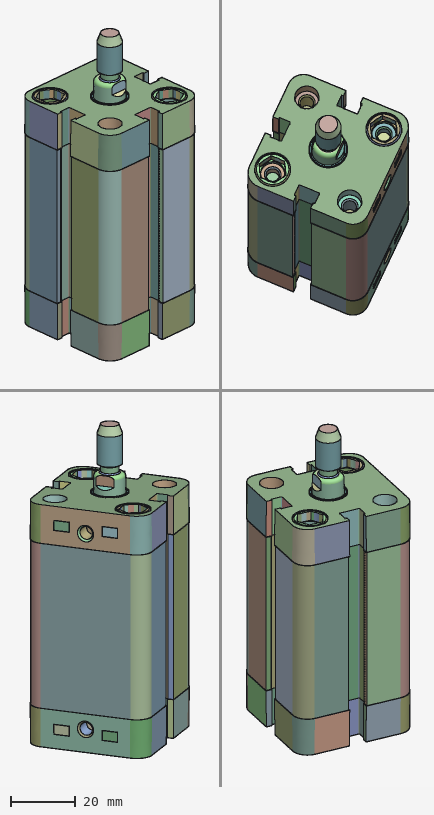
import cadquery as cq
import math


total_height = 101.0
rod_projection = 22.0
body_height = total_height - rod_projection
cap_height = 12.6

cap_width = 40.3
cap_draft_angle = 0.5
tube_width = 40.0
corner_centre = 14.9

slot_angles = (0, 90, 270)
cap_slot_opening = 5.8
tube_slot_opening = 6.4
slot_lip_depth = 1.9
slot_floor_depth = 5.7
slot_inner_width = 7.0
slot_corner_radius = 0.2

screw_offset = 13.0
screw_corners = [(screw_offset, screw_offset), (-screw_offset, -screw_offset)]
hole_corners = [(-screw_offset, screw_offset), (screw_offset, -screw_offset)]
screw_hole_diameter = 11.1
screw_diameter = 10.9
screw_length = 8.1
screw_chamfer = 0.45
socket_corner_diameter = 9.1
socket_relief_diameter = 8.1
socket_depth = 3.1
bore_diameter = 7.5
bore_depth = 4.4
thread_diameter = 4.1
thread_chamfer = 0.5

rod_diameter = 10.0
mouth_groove_outer_diameter = 12.0
mouth_groove_inner_diameter = 11.4
mouth_groove_depth = 0.3
rod_clearance_diameter = 10.5
rod_clearance_depth = 2.0
rod_edge_radius = 1.2
shoulder_height = 6.3
flat_width = 8.0
flat_length = 3.4
neck_diameter = 5.8
neck_length = 2.3
neck_root_chamfer = 0.4
thread_end_chamfer = 0.6
stud_diameter = 8.0
tip_diameter = 5.8
tip_length = 3.0

port_distance = 7.6
port_diameter = 4.1
port_mouth_diameter = 5.5
port_depth = 6.1
label_length = 5.0
label_width = 3.2
label_depth = 0.2
label_offset = 8.1
label_distance = 6.3


def rounded_square(width, z):
    """Body outline at height z, with its corner arcs on the shared centres."""
    corner_radius = width / 2 - corner_centre
    sketch = cq.Sketch().rect(width, width).vertices().fillet(corner_radius)
    return cq.Workplane("XY").workplane(offset=z).placeSketch(sketch)


def slot_bar(width, inner_x, outer_x):
    size = (outer_x - inner_x, width, body_height)
    return cq.Workplane("XY").box(*size, centered=(False, True, False)).translate((inner_x, 0, 0))


def slot_cutters(opening):
    """T-slot bars along the whole body, one for each slotted side."""
    floor_x = tube_width / 2 - slot_floor_depth
    lip_x = tube_width / 2 - slot_lip_depth
    inner_bar = slot_bar(slot_inner_width, floor_x, lip_x)
    inner_bar = inner_bar.edges("|Z and <X").fillet(slot_corner_radius)
    bar = slot_bar(opening, floor_x + slot_corner_radius, cap_width / 2).union(inner_bar)
    cutters = cq.Workplane("XY")
    for angle in slot_angles:
        cutters = cutters.union(bar.rotate((0, 0, 0), (0, 0, 1), angle))
    return cutters


def threaded_hole(depth):
    """Cutter for a hole down from Z = 0 with a chamfered mouth."""
    radius = thread_diameter / 2
    return (
        cq.Workplane("XZ")
        .moveTo(0, 0)
        .lineTo(radius + thread_chamfer, 0)
        .lineTo(radius, -thread_chamfer)
        .lineTo(radius, -depth)
        .lineTo(0, -depth)
        .close()
        .revolve(360, (0, 0), (0, 1))
    )


def port_cutter():
    """Cutter for a port into the -X side at Z = 0."""
    face = cap_width / 2
    mouth_depth = (port_mouth_diameter - port_diameter) / 2
    return (
        cq.Workplane("XY")
        .moveTo(-face, 0)
        .lineTo(-face, port_mouth_diameter / 2)
        .lineTo(-face + mouth_depth, port_diameter / 2)
        .lineTo(-face + port_depth, port_diameter / 2)
        .lineTo(-face + port_depth, 0)
        .close()
        .revolve(360, (0, 0), (1, 0))
    )


def make_end_cap():
    """Cap with its wide end on Z = 0 and its outer end at Z = cap_height."""
    cap = rounded_square(cap_width, 0).extrude(cap_height, taper=cap_draft_angle)
    cap = cap.cut(slot_cutters(cap_slot_opening))
    cap = cap.cut(port_cutter().translate((0, 0, cap_height - port_distance)))
    label = cq.Workplane("XY").box(2 * label_depth, label_length, label_width)
    for side in (-1, 1):
        place = (-tube_width / 2, side * label_offset, cap_height - label_distance)
        cap = cap.cut(label.translate(place))
    return cap


def make_bottom_cap():
    return make_end_cap().mirror("XY").translate((0, 0, cap_height))


def make_top_cap():
    cap = make_end_cap().translate((0, 0, body_height - cap_height))
    top = cq.Workplane("XY").workplane(offset=body_height)
    cap = cap.cut(top.circle(rod_diameter / 2).extrude(-cap_height))
    cap = cap.cut(top.circle(rod_clearance_diameter / 2).extrude(-rod_clearance_depth))
    groove = top.circle(mouth_groove_outer_diameter / 2).circle(mouth_groove_inner_diameter / 2)
    cap = cap.cut(groove.extrude(-mouth_groove_depth))
    cap = cap.cut(top.pushPoints(screw_corners).circle(screw_hole_diameter / 2).extrude(-screw_length))
    cap = cap.cut(top.pushPoints(hole_corners).circle(bore_diameter / 2).extrude(-bore_depth))
    for x, y in hole_corners:
        hole = threaded_hole(cap_height - bore_depth)
        cap = cap.cut(hole.translate((x, y, body_height - bore_depth)))
    return cap


def make_tube():
    tube = rounded_square(tube_width, cap_height).extrude(body_height - 2 * cap_height)
    return tube.cut(slot_cutters(tube_slot_opening))


def make_screw(x, y):
    """Round screw head with a hexagon socket, its top level with the cap."""
    top = cq.Workplane("XY")
    screw = top.circle(screw_diameter / 2).extrude(-screw_length).faces(">Z").chamfer(screw_chamfer)
    screw = screw.cut(top.polygon(6, socket_corner_diameter).extrude(-socket_depth))
    screw = screw.cut(top.circle(socket_relief_diameter / 2).extrude(-socket_depth))
    screw = screw.cut(top.circle(bore_diameter / 2).extrude(-bore_depth))
    hole = threaded_hole(screw_length - bore_depth)
    screw = screw.cut(hole.translate((0, 0, -bore_depth)))
    return screw.translate((x, y, body_height))


def make_rod():
    shoulder = body_height + shoulder_height
    stud_start = shoulder + neck_length
    arc_shift = rod_edge_radius * (1 - math.sqrt(0.5))
    rod = (
        cq.Workplane("XZ")
        .moveTo(0, body_height - cap_height)
        .lineTo(rod_diameter / 2, body_height - cap_height)
        .lineTo(rod_diameter / 2, shoulder - rod_edge_radius)
        .threePointArc(
            (rod_diameter / 2 - arc_shift, shoulder - arc_shift),
            (rod_diameter / 2 - rod_edge_radius, shoulder),
        )
        .lineTo(neck_diameter / 2 + neck_root_chamfer, shoulder)
        .lineTo(neck_diameter / 2, shoulder + neck_root_chamfer)
        .lineTo(neck_diameter / 2, stud_start)
        .lineTo(stud_diameter / 2, stud_start + thread_end_chamfer)
        .lineTo(stud_diameter / 2, total_height - tip_length)
        .lineTo(tip_diameter / 2, total_height)
        .lineTo(0, total_height)
        .close()
        .revolve(360, (0, 0), (0, 1))
    )
    flat_depth = rod_diameter - flat_width
    flat_end = shoulder - flat_length
    flat = (
        cq.Workplane("XZ")
        .moveTo(flat_width / 2, shoulder)
        .lineTo(flat_width / 2, flat_end)
        .lineTo(flat_width / 2 + flat_depth, flat_end - flat_depth)
        .lineTo(flat_width / 2 + flat_depth, shoulder)
        .close()
        .extrude(rod_diameter / 2, both=True)
    )
    return rod.cut(flat).cut(flat.mirror("YZ"))


bottom_cap = make_bottom_cap()
tube = make_tube()
top_cap = make_top_cap()
rod = make_rod()
screws = [make_screw(x, y) for x, y in screw_corners]

result = cq.Compound.makeCompound(
    [bottom_cap.val(), tube.val(), top_cap.val(), rod.val()] + [screw.val() for screw in screws]
)